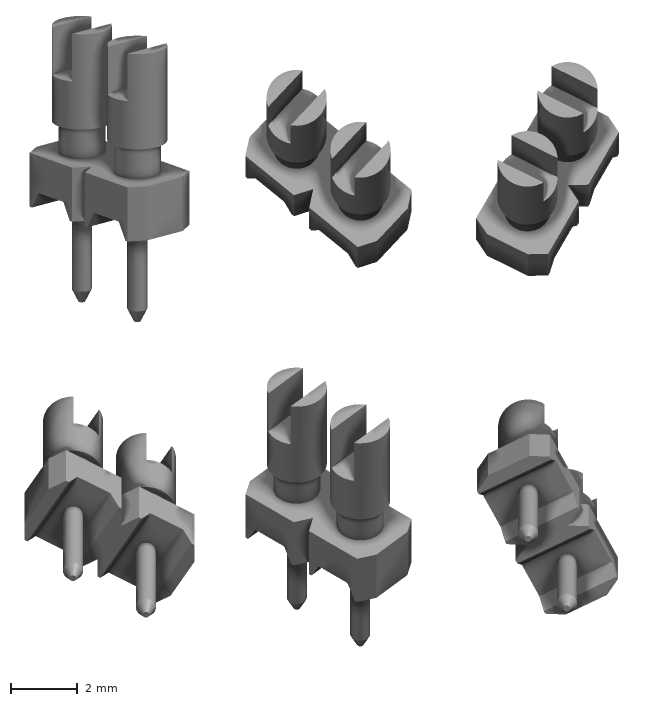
import cadquery as cq

position_count = 2
pitch = 2.54
total_height = 8.7

block_width = pitch
block_depth = 2.45
block_height = 1.705
corner_cut_x = 0.305
corner_cut_y = 0.53

notch_depth = 0.53
notch_mouth_width = 1.74
notch_roof_width = 1.15

neck_diameter = 1.41
neck_height = 0.99
head_diameter = 1.8
head_height = 3.0
slot_width = 0.9
slot_depth = 1.5

tail_diameter = 0.6
tip_diameter = 0.2
tip_height = 0.4

head_bottom = total_height - head_height
block_top = head_bottom - neck_height
block_bottom = block_top - block_height
notch_roof = block_bottom + notch_depth


def make_block():
    """Eight-sided block with a tapered notch running through it along Y."""
    half_width = block_width / 2
    half_depth = block_depth / 2
    flat_x = half_width - corner_cut_x
    flat_y = half_depth - corner_cut_y
    outline = [
        (half_width, flat_y),
        (flat_x, half_depth),
        (-flat_x, half_depth),
        (-half_width, flat_y),
        (-half_width, -flat_y),
        (-flat_x, -half_depth),
        (flat_x, -half_depth),
        (half_width, -flat_y),
    ]
    block = cq.Workplane("XY", origin=(0, 0, block_bottom)).polyline(outline).close().extrude(block_height)
    notch_profile = [
        (-notch_mouth_width / 2, block_bottom),
        (-notch_roof_width / 2, notch_roof),
        (notch_roof_width / 2, notch_roof),
        (notch_mouth_width / 2, block_bottom),
    ]
    notch = cq.Workplane("XZ").polyline(notch_profile).close().extrude(block_depth / 2, both=True)
    return block.cut(notch)


def make_neck():
    """Plain round neck standing on the block."""
    return cq.Workplane("XY", origin=(0, 0, block_top)).circle(neck_diameter / 2).extrude(neck_height)


def make_head():
    """Round head with a wire slot open at the top and at both Y ends."""
    head = cq.Workplane("XY", origin=(0, 0, head_bottom)).circle(head_diameter / 2).extrude(head_height)
    slot = cq.Workplane("XY", origin=(0, 0, total_height)).rect(slot_width, head_diameter).extrude(-slot_depth)
    return head.cut(slot)


def make_tail():
    """Round tail with a blunt conical tip, meeting the roof of the notch."""
    half_profile = [
        (0, 0),
        (tip_diameter / 2, 0),
        (tail_diameter / 2, tip_height),
        (tail_diameter / 2, notch_roof),
        (0, notch_roof),
    ]
    return cq.Workplane("XZ").polyline(half_profile).close().revolve(360, (0, 0), (0, 1))


bodies = []
for index in range(position_count):
    position_x = (index - (position_count - 1) / 2) * pitch
    for make_body in (make_block, make_neck, make_head, make_tail):
        body = make_body().translate((position_x, 0, 0))
        bodies.append(body.val())

result = cq.Compound.makeCompound(bodies)